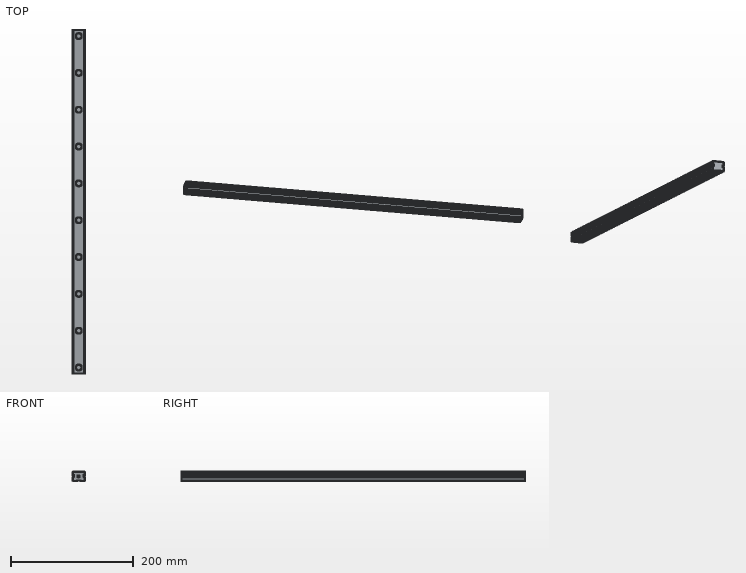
import cadquery as cq

rail_width = 20.0
rail_length = 560.0
rail_height = 15.5
half_width = rail_width / 2

bottom_chamfer = 1.1
relief_half_width = 3.0
relief_depth = 0.5
foot_shoulder_height = 5.7

waist_half_width = 8.0
waist_bottom_height = 7.8
head_underside_height = 9.6

raceway_bottom_height = 12.0
raceway_top_height = 13.9
raceway_top_half_width = 9.8
raceway_depth = 0.15
bevel_break_half_width = 8.6
bevel_break_height = 15.2
top_face_half_width = 8.4

recess_count = 10
recess_pitch = 60.0
recess_diameter = 9.5
recess_depth = 0.3

end_hole_diameter = 3.2
end_hole_depth = 2.0
end_hole_x = -0.5
end_hole_height = rail_height / 2


def make_rail_body():
    """Extrude the right half of the cross-section along Y and mirror it across X = 0."""
    raceway_middle = (
        (half_width + raceway_top_half_width) / 2 - raceway_depth,
        (raceway_bottom_height + raceway_top_height) / 2,
    )
    half_profile = (
        cq.Workplane("XZ")
        .moveTo(0, relief_depth)
        .lineTo(relief_half_width, relief_depth)
        .lineTo(relief_half_width, 0)
        .lineTo(half_width - bottom_chamfer, 0)
        .lineTo(half_width, bottom_chamfer)
        .lineTo(half_width, foot_shoulder_height)
        .lineTo(waist_half_width, waist_bottom_height)
        .lineTo(waist_half_width, head_underside_height)
        .lineTo(half_width, head_underside_height)
        .lineTo(half_width, raceway_bottom_height)
        .threePointArc(raceway_middle, (raceway_top_half_width, raceway_top_height))
        .lineTo(bevel_break_half_width, bevel_break_height)
        .lineTo(top_face_half_width, rail_height)
        .lineTo(0, rail_height)
        .close()
    )
    right_half = half_profile.extrude(rail_length / 2, both=True)
    return right_half.union(right_half.mirror("YZ")).clean()


def cut_top_recesses(body):
    """Cut the evenly spaced round recesses down the middle of the top face."""
    recesses = (
        cq.Workplane("XY", origin=(0, 0, rail_height))
        .rarray(1, recess_pitch, 1, recess_count)
        .circle(recess_diameter / 2)
        .extrude(-recess_depth)
    )
    return body.cut(recesses)


def cut_end_hole(body):
    """Cut the blind hole in the -Y end face."""
    end_hole = (
        cq.Workplane("XZ", origin=(end_hole_x, -rail_length / 2, end_hole_height))
        .circle(end_hole_diameter / 2)
        .extrude(-end_hole_depth)
    )
    return body.cut(end_hole)


rail = make_rail_body()
rail = cut_top_recesses(rail)
result = cut_end_hole(rail)